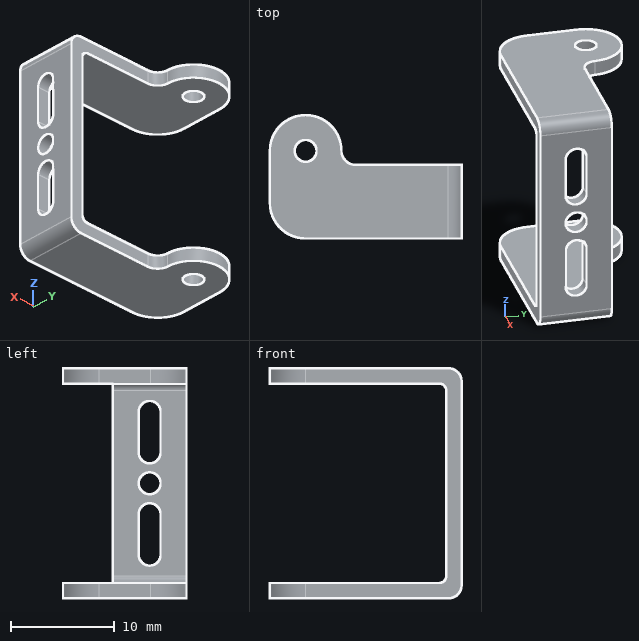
import cadquery as cq

length = 18.55
depth = 11.94
height = 22.23
thickness = 1.51

outer_bend_radius = 1.31
inner_bend_radius = 0.65

arm_width = 7.14
lug_radius = 3.47
lug_center_y = depth - lug_radius
neck_radius = lug_center_y - arm_width

hole_diameter = 2.1
slot_length = 6.0
slot_offset = 4.94


def make_channel():
    """C-shaped bracket, open toward -X, with rounded bends."""
    inner_length = length - thickness
    outer = cq.Workplane("XY").box(length, depth, height, centered=False)
    outer = outer.edges("|Y and >X").fillet(outer_bend_radius)
    inner = (
        cq.Workplane("XY")
        .box(inner_length, depth, height - 2 * thickness, centered=False)
        .edges("|Y and >X")
        .fillet(inner_bend_radius)
        .translate((0, 0, thickness))
    )
    return outer.cut(inner)


def make_arm_outline():
    """Full-height prism with the plan shape of the arms and their lugs."""
    diagonal = 0.5 ** 0.5
    corner_mid = lug_radius * (1 - diagonal)
    neck_x = 2 * lug_radius + neck_radius
    neck_mid_x = neck_x - neck_radius * diagonal
    neck_mid_y = lug_center_y - neck_radius * diagonal
    return (
        cq.Workplane("XY")
        .moveTo(lug_radius, 0)
        .lineTo(length, 0)
        .lineTo(length, arm_width)
        .lineTo(neck_x, arm_width)
        .threePointArc((neck_mid_x, neck_mid_y), (2 * lug_radius, lug_center_y))
        .threePointArc((lug_radius, depth), (0, lug_center_y))
        .lineTo(0, lug_radius)
        .threePointArc((corner_mid, corner_mid), (lug_radius, 0))
        .close()
        .extrude(height)
    )


def make_lug_holes():
    """Pivot hole through both lugs, concentric with their round ends."""
    return (
        cq.Workplane("XY")
        .center(lug_radius, lug_center_y)
        .circle(hole_diameter / 2)
        .extrude(height)
    )


def make_web_openings():
    """Center hole with a vertical slot above and below it."""
    web = cq.Workplane("YZ", origin=(length - 2 * thickness, arm_width / 2, height / 2))
    hole = web.circle(hole_diameter / 2).extrude(3 * thickness)
    slots = (
        web.pushPoints([(0, -slot_offset), (0, slot_offset)])
        .slot2D(slot_length, hole_diameter, 90)
        .extrude(3 * thickness)
    )
    return hole.union(slots)


bracket = make_channel().intersect(make_arm_outline())
result = bracket.cut(make_lug_holes()).cut(make_web_openings())